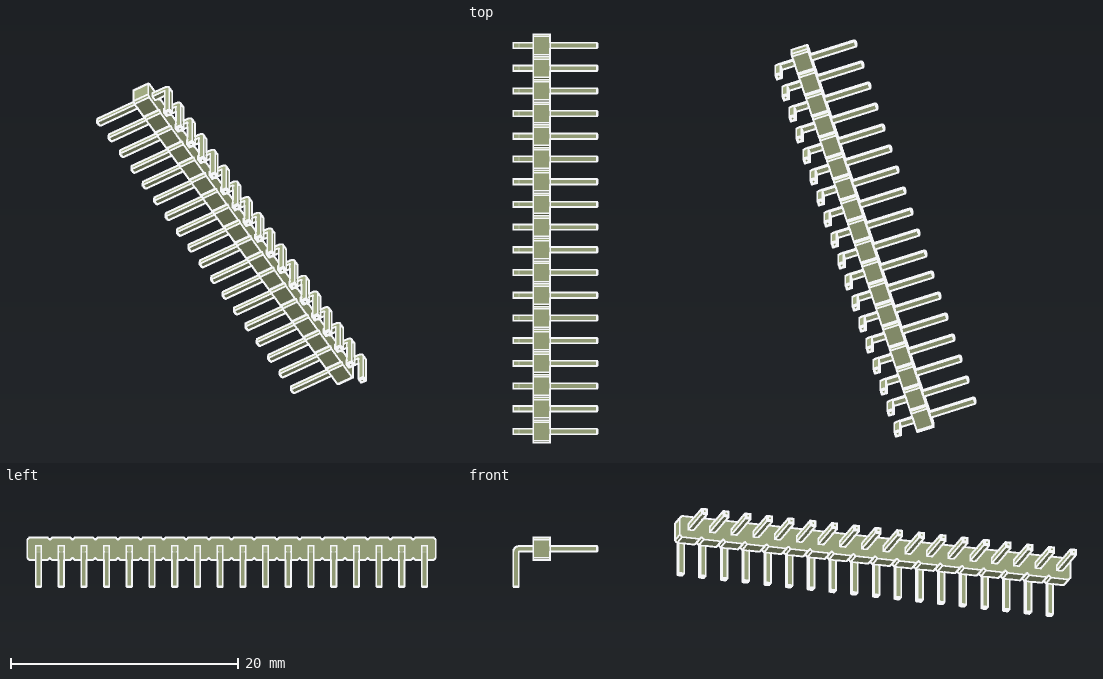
import cadquery as cq

PIN_COUNT = 18
PITCH = 2.0

BODY_WIDTH = 1.5
BODY_HEIGHT = 2.0
BODY_CHAMFER = 0.2

PIN_SIZE = 0.5
TAIL_REACH = 1.75
CONTACT_LENGTH = 4.2
TAIL_DROP = 2.4
BEND_RADIUS = PIN_SIZE
TIP_CHAMFER = 0.1

HALF_PIN = PIN_SIZE / 2
TAIL_X = -BODY_WIDTH / 2 - TAIL_REACH
CONTACT_X = BODY_WIDTH / 2 + CONTACT_LENGTH
TAIL_Z = -BODY_HEIGHT / 2 - TAIL_DROP


def make_cell():
    """One insulator cell with chamfered long corners."""
    cell = cq.Workplane("XY").box(BODY_WIDTH, PITCH, BODY_HEIGHT)
    return cell.edges("|X").chamfer(BODY_CHAMFER)


def make_pin():
    """One L-shaped square pin with a rounded outer bend and chamfered tips."""
    pin = (
        cq.Workplane("XZ")
        .moveTo(TAIL_X, TAIL_Z)
        .lineTo(TAIL_X, HALF_PIN - BEND_RADIUS)
        .radiusArc((TAIL_X + BEND_RADIUS, HALF_PIN), BEND_RADIUS)
        .lineTo(CONTACT_X, HALF_PIN)
        .lineTo(CONTACT_X, -HALF_PIN)
        .lineTo(TAIL_X + PIN_SIZE, -HALF_PIN)
        .lineTo(TAIL_X + PIN_SIZE, TAIL_Z)
        .close()
        .extrude(HALF_PIN, both=True)
    )
    pin = pin.faces(">X").chamfer(TIP_CHAMFER)
    return pin.faces("<Z").chamfer(TIP_CHAMFER)


unit = make_cell().union(make_pin())

result = unit.translate((0, -(PIN_COUNT - 1) * PITCH / 2, 0))
for index in range(1, PIN_COUNT):
    unit_y = (index - (PIN_COUNT - 1) / 2) * PITCH
    result = result.union(unit.translate((0, unit_y, 0)))